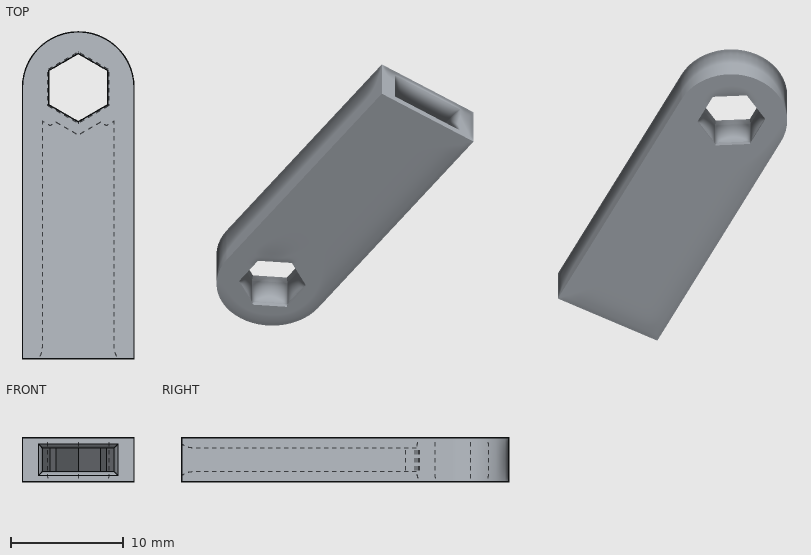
import cadquery as cq
import math

length = 28.95
width = 9.9
thickness = 3.9
end_radius = width / 2
hole_y = length - end_radius

hole_rim_radius = 3.0
hole_core_radius = 3.15
hole_rim_depth = 0.58

socket_width = 6.37
socket_height = 2.1
mouth_inset = 0.35
mouth_depth = 1.0
mouth_arc_radius = (mouth_depth**2 + mouth_inset**2) / (2 * mouth_inset)

centre_ridge_to_hole = 4.2
groove_x = 1.97
side_ridge_x = 2.5
end_slope = math.tan(math.radians(30))


def make_body():
    half = width / 2
    return (
        cq.Workplane("XY")
        .workplane(offset=-thickness / 2)
        .moveTo(-half, 0)
        .lineTo(half, 0)
        .lineTo(half, hole_y)
        .threePointArc((0, length), (-half, hole_y))
        .close()
        .extrude(thickness)
    )


def hexagon_points(radius):
    angles = [math.radians(90 + 60 * i) for i in range(6)]
    return [(radius * math.cos(a), hole_y + radius * math.sin(a)) for a in angles]


def make_hole():
    core_half = thickness / 2 - hole_rim_depth
    hole = (
        cq.Workplane("XY")
        .workplane(offset=-core_half)
        .polyline(hexagon_points(hole_core_radius))
        .close()
        .extrude(2 * core_half)
    )
    for side in (-1, 1):
        rim = (
            cq.Workplane("XY")
            .workplane(offset=side * core_half)
            .polyline(hexagon_points(hole_core_radius))
            .close()
            .workplane(offset=side * hole_rim_depth)
            .polyline(hexagon_points(hole_rim_radius))
            .close()
            .loft(ruled=True)
        )
        hole = hole.union(rim)
    return hole


def make_socket():
    half = socket_width / 2
    centre_y = hole_y - centre_ridge_to_hole
    groove_y = centre_y + groove_x * end_slope
    side_ridge_y = groove_y - (side_ridge_x - groove_x) * end_slope
    corner_y = side_ridge_y + (half - side_ridge_x) * end_slope
    right_side = [
        (half, 0),
        (half, corner_y),
        (side_ridge_x, side_ridge_y),
        (groove_x, groove_y),
    ]
    left_side = [(-x, y) for x, y in reversed(right_side)]
    return (
        cq.Workplane("XY")
        .workplane(offset=-socket_height / 2)
        .polyline(right_side + [(0, centre_y)] + left_side)
        .close()
        .extrude(socket_height)
    )


def flare_profile(plane, half_size):
    """Mouth outline whose curved sides run tangent into the socket walls."""
    mid_angle = math.asin(mouth_depth / mouth_arc_radius) / 2
    mid_half = half_size + mouth_arc_radius * (1 - math.cos(mid_angle))
    mid_depth = mouth_depth - mouth_arc_radius * math.sin(mid_angle)
    mouth_half = half_size + mouth_inset
    return (
        cq.Workplane(plane)
        .moveTo(-mouth_half, 0)
        .lineTo(mouth_half, 0)
        .threePointArc((mid_half, mid_depth), (half_size, mouth_depth))
        .lineTo(-half_size, mouth_depth)
        .threePointArc((-mid_half, mid_depth), (-mouth_half, 0))
        .close()
    )


def make_mouth():
    side_flare = flare_profile("XY", socket_width / 2).extrude(thickness / 2, both=True)
    height_flare = flare_profile("ZY", socket_height / 2).extrude(width / 2, both=True)
    return side_flare.intersect(height_flare)


result = make_body().cut(make_hole()).cut(make_socket()).cut(make_mouth())